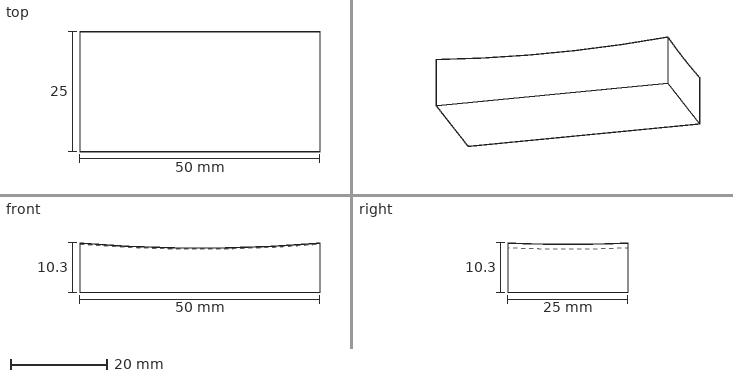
import cadquery as cq

LENGTH = 50.0
WIDTH = 25.0
CENTER_HEIGHT = 9.0
DISH_RADIUS = 300.0

BLANK_HEIGHT = 1.5 * CENTER_HEIGHT
SPHERE_CENTER_Z = CENTER_HEIGHT + DISH_RADIUS


def make_blank():
    """Rectangular block resting on the XY plane, centred in X and Y."""
    return cq.Workplane("XY").box(LENGTH, WIDTH, BLANK_HEIGHT, centered=(True, True, False))


def make_dish_sphere():
    """Sphere revolved about an X-parallel axis, so its seam runs along X at the bottom."""
    return (
        cq.Workplane("XZ", origin=(0, 0, SPHERE_CENTER_Z))
        .moveTo(-DISH_RADIUS, 0)
        .threePointArc((0, -DISH_RADIUS), (DISH_RADIUS, 0))
        .close()
        .revolve(360, (0, 0, 0), (1, 0, 0))
    )


result = make_blank().cut(make_dish_sphere(), clean=False)